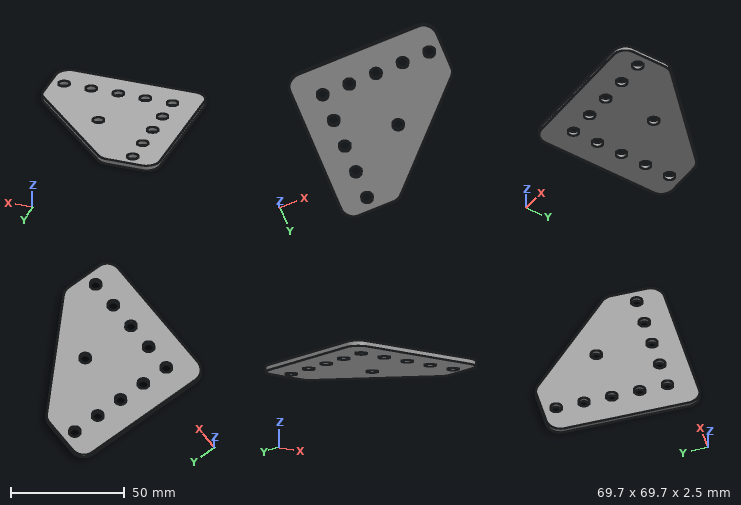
import cadquery as cq

side = 69.72
thickness = 2.5
pitch = 12.7
hole_diameter = 5.0
holes_per_leg = 5
gusset_hole_step = 2

edge_offset = pitch
corner_radius = pitch / 2
short_edge = 2 * pitch


def plate():
    """Triangular gusset plate with truncated tips and rounded corners."""
    outline = [
        (0, 0),
        (side, 0),
        (side, short_edge),
        (short_edge, side),
        (0, side),
    ]
    blank = cq.Workplane("XY").polyline(outline).close().extrude(thickness)
    return blank.edges("|Z").fillet(corner_radius)


def hole_centres():
    """Hole positions along both legs, plus one inside the gusset."""
    steps = [(i, 0) for i in range(holes_per_leg)]
    steps += [(0, i) for i in range(1, holes_per_leg)]
    steps.append((gusset_hole_step, gusset_hole_step))
    return [(edge_offset + i * pitch, edge_offset + j * pitch) for i, j in steps]


def through_holes():
    """Cylinders that pierce the full plate thickness."""
    return (
        cq.Workplane("XY")
        .pushPoints(hole_centres())
        .circle(hole_diameter / 2)
        .extrude(thickness)
    )


result = plate().cut(through_holes())